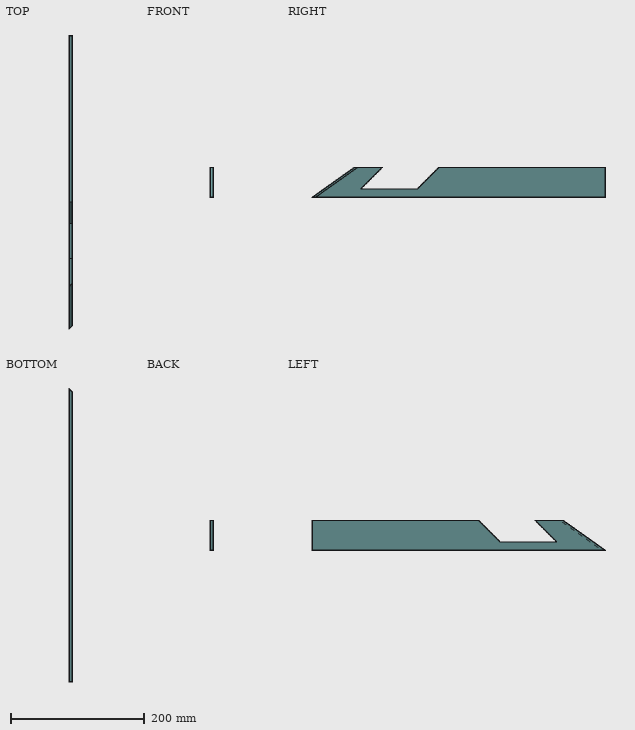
import cadquery as cq

thickness = 5.0
length = 439.71
height = 45.0

notch_to_tip = 190.0
notch_width = 84.5
notch_depth = 32.2

nose_run = 63.5
bevel_setback = thickness


def draw_side(workplane, tip_distance):
    """Side outline of the bar with its nose tip at the given distance from the tail."""
    outline = [
        (0, 0),
        (0, height),
        (nose_run - tip_distance, height),
        (-tip_distance, 0),
    ]
    return workplane.polyline(outline).close()


def bar():
    """Bar ruled between its two side outlines; the +X side is shorter by the bevel setback."""
    long_side = draw_side(cq.Workplane("YZ"), length)
    opposite_plane = long_side.workplane(offset=thickness)
    both_sides = draw_side(opposite_plane, length - bevel_setback)
    return both_sides.loft(ruled=True)


def notch():
    """Parallelogram cutter running through the thickness, leaning towards the nose."""
    tail_side = notch_to_tip - length
    nose_side = tail_side - notch_width
    floor = height - notch_depth
    lean = notch_depth
    outline = [
        (tail_side, height),
        (tail_side - lean, floor),
        (nose_side - lean, floor),
        (nose_side, height),
    ]
    return cq.Workplane("YZ").polyline(outline).close().extrude(thickness)


result = bar().cut(notch())